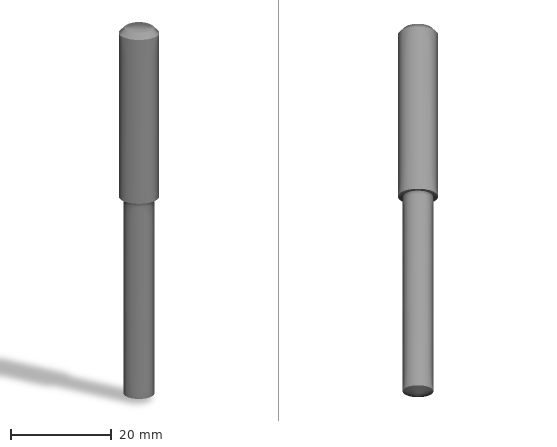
import cadquery as cq
import math

overall_length = 79.0
shank_diameter = 8.0
shank_length = 36.0
shank_chamfer = 1.15
drill_diameter = 6.1
point_angle = 140.0
cutting_length = 3 * drill_diameter

shank_radius = shank_diameter / 2
drill_radius = drill_diameter / 2
point_height = drill_radius / math.tan(math.radians(point_angle / 2))
shank_bottom = overall_length - shank_length


def make_cutting_head():
    """Cylindrical cutting length ending in a conical point."""
    return (
        cq.Workplane("XZ")
        .moveTo(0, 0)
        .lineTo(drill_radius, point_height)
        .lineTo(drill_radius, cutting_length)
        .lineTo(0, cutting_length)
        .close()
        .revolve(360, (0, 0), (0, 1))
    )


def make_shank():
    """Neck of the drill diameter below a thicker shank with a chamfered top."""
    return (
        cq.Workplane("XZ")
        .moveTo(0, cutting_length)
        .lineTo(drill_radius, cutting_length)
        .lineTo(drill_radius, shank_bottom)
        .lineTo(shank_radius, shank_bottom)
        .lineTo(shank_radius, overall_length - shank_chamfer)
        .lineTo(shank_radius - shank_chamfer, overall_length)
        .lineTo(0, overall_length)
        .close()
        .revolve(360, (0, 0), (0, 1))
    )


cutting_head = make_cutting_head()
shank = make_shank()

result = cq.Compound.makeCompound([cutting_head.val(), shank.val()])